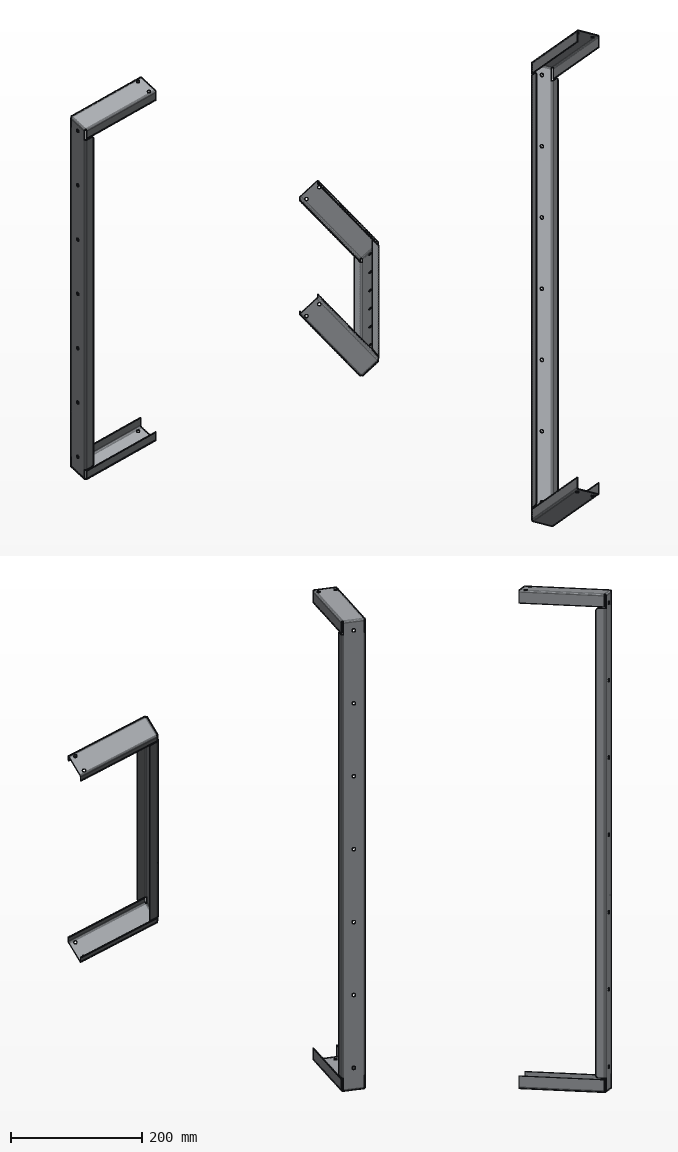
import cadquery as cq

width = 39.5
depth = 137.0
height = 774.0

sheet = 1.4
bend_radius = 2.95
inner_radius = bend_radius - sheet
arm_flange = 20.0
post_flange = 16.0
corner_gap = 2.0
flange_corner_radius = 5.0

post_hole_diameter = 5.5
post_hole_count = 7
post_hole_pitch = 120.0
top_hole_offset = 17.0

arm_hole_diameter = 5.0
arm_hole_spacing = 27.0
arm_hole_offset = 9.0


def channel(length, flange):
    """Channel running along Z from the origin, web on the XZ plane, flanges toward +Y."""
    outer = (
        cq.Workplane("XY")
        .rect(width, 2 * flange)
        .extrude(length)
        .edges("|Z")
        .fillet(bend_radius)
    )
    inner = (
        cq.Workplane("XY")
        .rect(width - 2 * sheet, 2 * (flange - sheet))
        .extrude(length)
        .edges("|Z")
        .fillet(inner_radius)
    )
    open_side = cq.Workplane("XY").box(width, flange, length, centered=(True, False, False))
    return outer.cut(inner).cut(open_side).translate((0, flange, 0))


def bent_web():
    """Web strip that runs along one arm, down the post and back along the other arm."""
    strip_width = width - 2 * bend_radius
    outer = (
        cq.Workplane("XY")
        .box(strip_width, depth, height, centered=(True, False, False))
        .edges("|X and <Y")
        .fillet(bend_radius)
    )
    inner = (
        cq.Workplane("XY")
        .box(strip_width, depth, height - 2 * sheet, centered=(True, False, False))
        .edges("|X and <Y")
        .fillet(inner_radius)
        .translate((0, sheet, sheet))
    )
    return outer.cut(inner)


def post():
    """Upright channel with rounded flange corners, kept clear of both arms."""
    end = arm_flange + corner_gap
    body = channel(height - 2 * end, post_flange)
    body = body.edges("|X and >Y and (<Z or >Z)").fillet(flange_corner_radius)
    return body.translate((0, 0, end))


def lower_arm():
    """Horizontal channel that opens upward, starting past the bend of the web."""
    return (
        channel(depth - bend_radius, arm_flange)
        .rotate((0, 0, 0), (1, 0, 0), 90)
        .translate((0, depth, 0))
    )


def post_holes():
    """Row of holes through the post web, evenly spaced down from the top one."""
    top_hole = height - top_hole_offset
    points = [(0, top_hole - index * post_hole_pitch) for index in range(post_hole_count)]
    return cq.Workplane("XZ").pushPoints(points).circle(post_hole_diameter / 2).extrude(-bend_radius)


def arm_holes():
    """Hole pair passing through the webs of both arms."""
    y = depth - arm_hole_offset
    points = [(side * arm_hole_spacing / 2, y) for side in (-1, 1)]
    return cq.Workplane("XY").pushPoints(points).circle(arm_hole_diameter / 2).extrude(height)


arm = lower_arm()
upper_arm = arm.mirror("XY").translate((0, 0, height))

result = bent_web().union(post()).union(arm).union(upper_arm)
result = result.cut(post_holes()).cut(arm_holes())